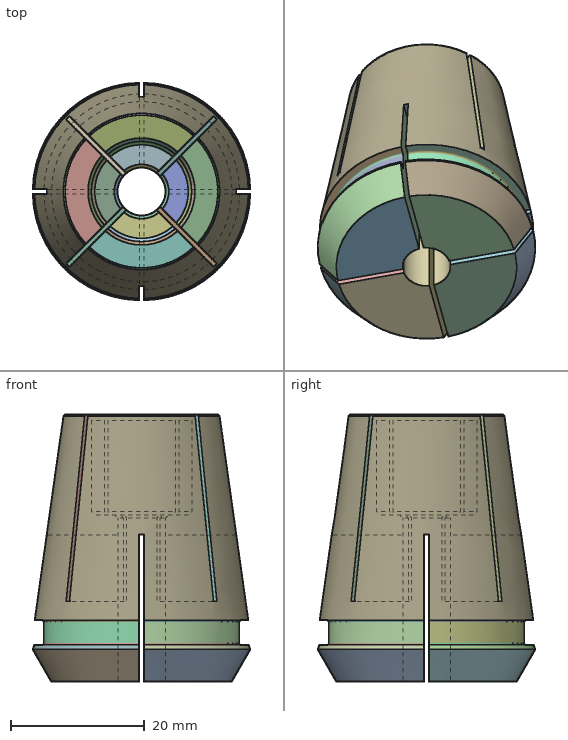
import cadquery as cq
import math

LENGTH = 40.0
BASE_RADIUS = 13.5
FLANGE_RADIUS = 16.3
NOSE_ANGLE = 30.0
FLANGE_BEVEL_WIDTH = 0.25
FLANGE_TOP_Z = 5.5
GROOVE_RADIUS = 14.65
GROOVE_TOP_Z = 9.2
GROOVE_FILLET = 0.25
TAPER_RADIUS = 16.0
TAPER_ANGLE = 8.0
TOP_CHAMFER = 0.25

HOLE_RADIUS = 7.14 / 2
BORE_RADIUS = 7.5
BORE_DEPTH = 15.0
BORE_CHAMFER = 0.5
MOUTH_CHAMFER_ANGLE = 30.0

SLOT_WIDTH = 0.7
SLOT_OVERRUN = 1.0
BOTTOM_SLOT_END_Z = 22.0
TOP_SLOT_END_Z = 12.0
BOTTOM_SLOT_ANGLES = (0, 90)
TOP_SLOT_ANGLES = (45, 135)

NOSE_HEIGHT = (FLANGE_RADIUS - BASE_RADIUS) / math.tan(math.radians(NOSE_ANGLE))
TOP_RADIUS = TAPER_RADIUS - (LENGTH - GROOVE_TOP_Z) * math.tan(math.radians(TAPER_ANGLE))
MOUTH_CHAMFER_DEPTH = BORE_CHAMFER / math.tan(math.radians(MOUTH_CHAMFER_ANGLE))
BORE_FLOOR_Z = LENGTH - BORE_DEPTH
SLOT_LENGTH = 2 * (FLANGE_RADIUS + SLOT_OVERRUN)


def make_body():
    """Revolve the outer half profile: nose cone, flange, groove and long taper."""
    profile = (
        cq.Workplane("XZ")
        .lineTo(BASE_RADIUS, 0)
        .lineTo(FLANGE_RADIUS, NOSE_HEIGHT)
        .lineTo(FLANGE_RADIUS - FLANGE_BEVEL_WIDTH, FLANGE_TOP_Z)
        .lineTo(GROOVE_RADIUS + GROOVE_FILLET, FLANGE_TOP_Z)
        .radiusArc((GROOVE_RADIUS, FLANGE_TOP_Z + GROOVE_FILLET), GROOVE_FILLET)
        .lineTo(GROOVE_RADIUS, GROOVE_TOP_Z - GROOVE_FILLET)
        .radiusArc((GROOVE_RADIUS + GROOVE_FILLET, GROOVE_TOP_Z), GROOVE_FILLET)
        .lineTo(TAPER_RADIUS, GROOVE_TOP_Z)
        .lineTo(TOP_RADIUS, LENGTH)
        .lineTo(0, LENGTH)
        .close()
    )
    body = profile.revolve(360, (0, 0, 0), (0, 1, 0))
    return body.faces(">Z").edges().chamfer(TOP_CHAMFER)


def make_bore():
    """Through hole opening into a wide bore, with chamfers at every step."""
    profile = (
        cq.Workplane("XZ")
        .lineTo(HOLE_RADIUS, 0)
        .lineTo(HOLE_RADIUS, BORE_FLOOR_Z - BORE_CHAMFER)
        .lineTo(HOLE_RADIUS + BORE_CHAMFER, BORE_FLOOR_Z)
        .lineTo(BORE_RADIUS - BORE_CHAMFER, BORE_FLOOR_Z)
        .lineTo(BORE_RADIUS, BORE_FLOOR_Z + BORE_CHAMFER)
        .lineTo(BORE_RADIUS, LENGTH - MOUTH_CHAMFER_DEPTH)
        .lineTo(BORE_RADIUS + BORE_CHAMFER, LENGTH)
        .lineTo(0, LENGTH)
        .close()
    )
    return profile.revolve(360, (0, 0, 0), (0, 1, 0))


def make_slot(angle, bottom_z, top_z):
    """Full-diameter saw cut between two heights, turned about the axis."""
    blade = cq.Workplane("XY").workplane(offset=bottom_z).rect(SLOT_LENGTH, SLOT_WIDTH)
    return blade.extrude(top_z - bottom_z).rotate((0, 0, 0), (0, 0, 1), angle)


result = make_body().cut(make_bore())
for slot_angle in BOTTOM_SLOT_ANGLES:
    result = result.cut(make_slot(slot_angle, 0, BOTTOM_SLOT_END_Z))
for slot_angle in TOP_SLOT_ANGLES:
    result = result.cut(make_slot(slot_angle, TOP_SLOT_END_Z, LENGTH))